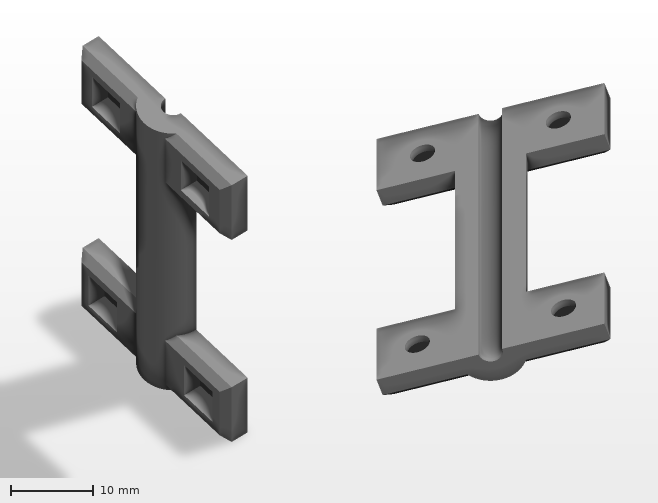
import cadquery as cq

length = 47.0
spine_radius = 4.5
groove_radius = 1.5

pad_width = 29.0
pad_height = 10.0
pad_thickness = 3.52
pad_chamfer = 1.05

hole_diameter = 3.2
pocket_side = 5.5
pocket_depth = 2.5
upper_hole_spacing = 17.3
lower_hole_spacing = 18.6

pad_center_z = (length - pad_height) / 2


def half_round_bar(radius):
    """Full-length half cylinder bulging toward -Y from the back plane."""
    return (
        cq.Workplane("XY", origin=(0, 0, -length / 2))
        .moveTo(-radius, 0)
        .threePointArc((0, -radius), (radius, 0))
        .close()
        .extrude(length)
    )


def make_pad(center_z):
    return (
        cq.Workplane("XY")
        .box(pad_width, pad_thickness, pad_height)
        .faces("<Y")
        .chamfer(pad_chamfer)
        .translate((0, -pad_thickness / 2, center_z))
    )


def make_fastener_cut(center_x, center_z):
    """Through hole with a square pocket sunk into the front of the pad."""
    hole = (
        cq.Workplane("XZ", origin=(center_x, 0, center_z))
        .circle(hole_diameter / 2)
        .extrude(pad_thickness)
    )
    pocket = cq.Workplane("XY").box(pocket_side, pocket_depth, pocket_side).translate(
        (center_x, -pad_thickness + pocket_depth / 2, center_z)
    )
    return hole.union(pocket)


result = half_round_bar(spine_radius)
pad_rows = [(pad_center_z, upper_hole_spacing), (-pad_center_z, lower_hole_spacing)]
for center_z, hole_spacing in pad_rows:
    result = result.union(make_pad(center_z))
    for side in (-1, 1):
        result = result.cut(make_fastener_cut(side * hole_spacing / 2, center_z))

result = result.cut(half_round_bar(groove_radius)).clean()